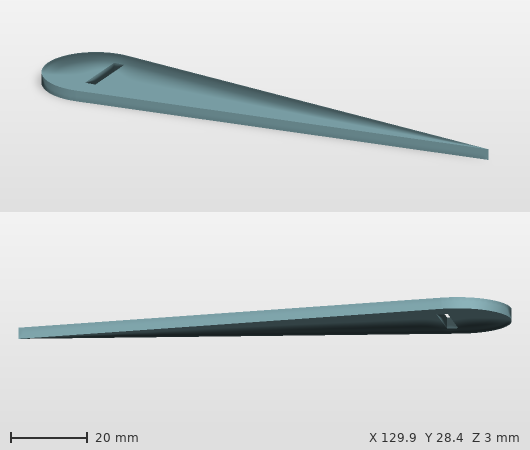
import cadquery as cq
import math

thickness = 3.0
head_radius = 14.2
tip_distance = 116.14
tilt = 5.0
slot_width = 3.0
slot_length = 16.0
slot_offset = 2.6


def polar(radius, angle):
    """Point at a radius and an angle in degrees about the head centre."""
    return (
        radius * math.cos(math.radians(angle)),
        radius * math.sin(math.radians(angle)),
    )


def pointer_plate():
    """Teardrop plate: two straight sides run from the tip, tangent to the round head."""
    tangent_angle = math.degrees(math.acos(head_radius / tip_distance))
    upper_tangent = polar(head_radius, tangent_angle)
    lower_tangent = polar(head_radius, -tangent_angle)
    return (
        cq.Workplane("XY")
        .moveTo(tip_distance, 0)
        .lineTo(*upper_tangent)
        .threePointArc((-head_radius, 0), lower_tangent)
        .close()
        .extrude(thickness)
    )


def cut_slot(plate):
    """Rectangular through slot set square across the long axis."""
    cutter = (
        cq.Workplane("XY")
        .center(slot_offset, 0)
        .rect(slot_width, slot_length)
        .extrude(thickness)
    )
    return plate.cut(cutter)


result = cut_slot(pointer_plate()).rotate((0, 0, 0), (0, 0, 1), tilt)